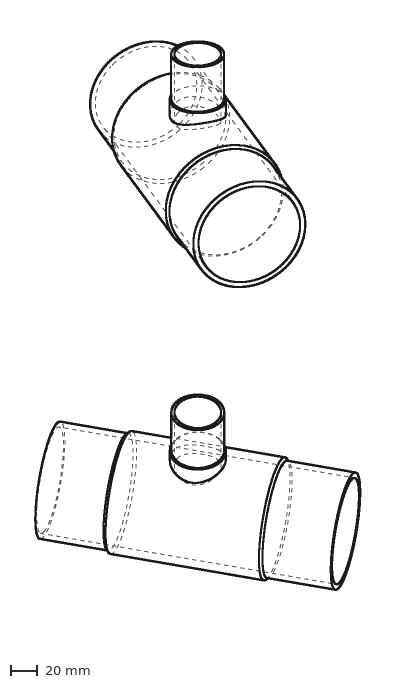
import cadquery as cq

pipe_length = 230.0
pipe_diameter = 90.0
pipe_bore = 81.5

sleeve_length = 123.7
sleeve_diameter = 94.3
sleeve_chamfer = (sleeve_diameter - pipe_diameter) / 2

overall_height = 142.1
branch_top = overall_height - sleeve_diameter / 2
branch_diameter = 40.0
branch_bore = 35.2

collar_diameter = 42.3
collar_top = 56.5
collar_slope_height = 0.7


def cylinder_along_x(diameter, length):
    """Horizontal cylinder centred on the origin."""
    return cq.Workplane("YZ", origin=(-length / 2, 0, 0)).circle(diameter / 2).extrude(length)


def cylinder_up(diameter, height):
    """Vertical cylinder starting on the main pipe axis."""
    return cq.Workplane("XY").circle(diameter / 2).extrude(height)


def sloped_collar():
    """Half profile in the XZ plane, revolved about the branch axis."""
    return (
        cq.Workplane("XZ")
        .lineTo(collar_diameter / 2, 0)
        .lineTo(collar_diameter / 2, collar_top - collar_slope_height)
        .lineTo(branch_diameter / 2, collar_top)
        .lineTo(0, collar_top)
        .close()
        .revolve(360, (0, 0, 0), (0, 1, 0))
    )


pipe = cylinder_along_x(pipe_diameter, pipe_length)
sleeve = cylinder_along_x(sleeve_diameter, sleeve_length).faces("<X or >X").edges().chamfer(sleeve_chamfer)
branch = cylinder_up(branch_diameter, branch_top)
collar = sloped_collar()
body = pipe.union(sleeve).union(collar).union(branch)

result = body.cut(cylinder_along_x(pipe_bore, pipe_length)).cut(cylinder_up(branch_bore, branch_top))